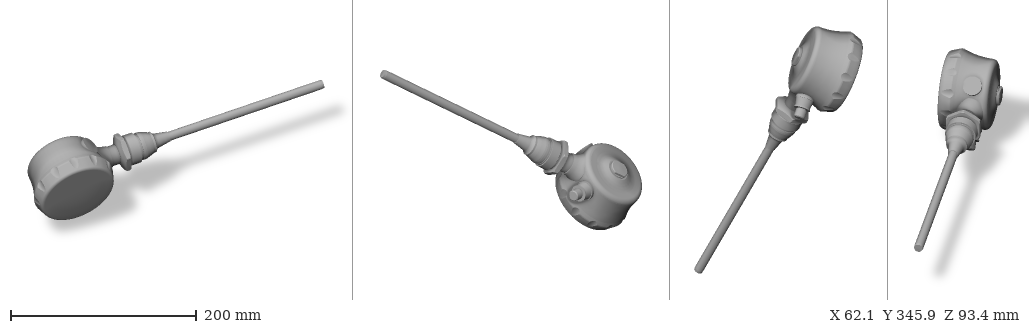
import cadquery as cq
import math


BACK_X = -19.5
BACK_EDGE_RADIUS = 5.5
HOUSING_BACK_R = 38.5
HOUSING_MID_X = 2.0
HOUSING_MID_R = 40.2
COVER_SEAM_X = 15.1
COVER_SEAM_R = 44.0
CREST_X = 20.2
CREST_R = 46.18
CREST_EDGE_RADIUS = 3.0
FRONT_X = 33.95
FRONT_R = 41.7
FRONT_EDGE_RADIUS = 3.2

SCALLOP_COUNT = 12
SCALLOP_R = 8.0
SCALLOP_START_X = 17.0
SCALLOP_START_R = 44.65
SCALLOP_END_X = 30.5
SCALLOP_END_R = 42.8

DOME_R = 25.7
DOME_MID_X = -20.6
DOME_MID_R = 19.0
DOME_TOP_X = -22.3
DOME_TOP_R = 15.7
PLUG_SEAT_X = -24.0
PLUG_SEAT_R = 12.4
PLUG_R = 10.5
HEAD_LENGTH = 62.05
PLUG_END_X = FRONT_X - HEAD_LENGTH
PLUG_CONE_HEIGHT = 0.7
PLUG_CHAMFER = 0.75
PLUG_FLAT_Z = 8.5
PLUG_FLAT_START_X = -25.0

SIDE_ANGLE = 45
SIDE_X = -2.0
BOSS_R = 10.4
BOSS_FACE = 41.6
SIDE_ROOT = 30.0

CONNECTOR_FLANGE_R = 9.0
CONNECTOR_FLANGE_START = 50.6
CONNECTOR_FLANGE_END = 52.2
CONNECTOR_WAIST_R = 8.0
CONNECTOR_ROOT_R = 9.75
CONNECTOR_GROOVE_R = 5.0
CONNECTOR_GROOVE_END = 53.5
CONNECTOR_TIP_R = 6.0
CONNECTOR_TIP_CHAMFER = 1.0
CONNECTOR_END = 62.45

NECK_END_Y = 50.0
NECK_END_R = 12.0
NECK_MID_Y = 43.0
NECK_MID_R = 13.5
NECK_ROOT_Y = 36.0
NECK_ROOT_R = 17.5

TUBE_R = 11.0
TUBE_END_Y = 59.6
HEX_CONE_START_R = 11.8
HEX_CONE_END_Y = 63.9
HEX_END_Y = 68.6
HEX_ACROSS_FLATS = 37.0
HEX_CORNER_R = 21.1
HEX_EDGE_CHAMFER = 0.9
COLLAR_WAIST_R = 14.5
COLLAR_WAIST_END_Y = 70.2
COLLAR_R = 16.8
COLLAR_START_Y = 71.6
COLLAR_END_Y = 82.0
SHOULDER_R = 15.2
GROOVE_START_Y = 83.4
GROOVE_END_Y = 85.4
GROOVE_DEPTH = 0.8
SHOULDER_END_Y = 87.7
SHOULDER_TAPER_END_Y = 89.7
SHOULDER_TAPER_R = 14.9
BULLET_CONE_Y = 95.0
BULLET_CONE_R = 13.2
BULLET_MID_Y = 97.4
BULLET_MID_R = 12.4
BULLET_END_Y = 99.3
RING_R = 11.5
RING_END_Y = 101.6
FLARE_MID_Y = 103.0
FLARE_MID_R = 9.5
FLARE_END_Y = 105.3
FLARE_END_R = 8.2
CONE_END_Y = 117.6
CONE_END_R = 6.0
SLEEVE_END_Y = 119.7
SLEEVE_R = 5.7
ROD_R = 5.0
TIP_Y = 300.2
TIP_LENGTH = 2.7
TIP_TAPER = 0.4


def head_profile():
    """Half outline of the housing with its cover, dome and end plug."""
    arc = BACK_EDGE_RADIUS * math.sin(math.radians(45))
    arc_x = BACK_X + BACK_EDGE_RADIUS
    arc_r = HOUSING_BACK_R - BACK_EDGE_RADIUS
    rim_x = PLUG_END_X + PLUG_CONE_HEIGHT
    return (
        cq.Workplane("XY")
        .moveTo(PLUG_END_X, 0)
        .lineTo(rim_x, PLUG_R - PLUG_CHAMFER)
        .lineTo(rim_x + PLUG_CHAMFER, PLUG_R)
        .lineTo(PLUG_SEAT_X, PLUG_R)
        .lineTo(PLUG_SEAT_X, PLUG_SEAT_R)
        .lineTo(DOME_TOP_X, DOME_TOP_R)
        .threePointArc((DOME_MID_X, DOME_MID_R), (BACK_X, DOME_R))
        .lineTo(BACK_X, arc_r)
        .threePointArc((arc_x - arc, arc_r + arc), (arc_x, HOUSING_BACK_R))
        .threePointArc((HOUSING_MID_X, HOUSING_MID_R), (COVER_SEAM_X, COVER_SEAM_R))
        .lineTo(CREST_X, CREST_R)
        .lineTo(FRONT_X, FRONT_R)
        .lineTo(FRONT_X, 0)
        .close()
    )


def circle_edge(x, radius):
    """Selector for the round edge of the head at a given X and radius."""
    margin = 0.1
    reach = radius + margin
    return cq.selectors.BoxSelector((x - margin, -reach, -reach), (x + margin, reach, reach), boundingbox=True)


def make_head():
    head = head_profile().revolve(360, (0, 0, 0), (1, 0, 0))
    head = head.edges(circle_edge(CREST_X, CREST_R)).fillet(CREST_EDGE_RADIUS)
    return head.edges(circle_edge(FRONT_X, FRONT_R)).fillet(FRONT_EDGE_RADIUS)


def cut_scallops(head):
    """Teardrop finger grips: cylinders tilted so that they sink towards the crest."""
    run = SCALLOP_END_X - SCALLOP_START_X
    drop = SCALLOP_END_R - SCALLOP_START_R
    length = math.hypot(run, drop)
    direction = cq.Vector(run / length, 0, drop / length)
    lift = cq.Vector(-direction.z, 0, direction.x) * SCALLOP_R
    start = cq.Vector(SCALLOP_START_X, 0, SCALLOP_START_R) + lift - direction * length
    cutter = cq.Solid.makeCylinder(SCALLOP_R, 3 * length, start, direction)
    for index in range(SCALLOP_COUNT):
        angle = index * 360 / SCALLOP_COUNT
        head = head.cut(cq.Workplane(cutter.rotate(cq.Vector(0, 0, 0), cq.Vector(1, 0, 0), angle)))
    return head


def cut_plug_flats(head):
    length = PLUG_FLAT_START_X - PLUG_END_X
    for side in (-1, 1):
        block = cq.Workplane("XY").box(length, 2 * PLUG_R, PLUG_R)
        block = block.translate((PLUG_END_X + length / 2, 0, side * (PLUG_FLAT_Z + PLUG_R / 2)))
        head = head.cut(block)
    return head


def side_axis(solid, upper):
    """Place a solid built along +Y so that it points obliquely up or down from the head axis."""
    angle = SIDE_ANGLE if upper else -SIDE_ANGLE
    return solid.rotate((0, 0, 0), (1, 0, 0), angle).translate((SIDE_X, 0, 0))


def make_boss():
    boss = cq.Workplane("XZ").circle(BOSS_R).extrude(-(BOSS_FACE - SIDE_ROOT))
    return boss.translate((0, SIDE_ROOT, 0))


def make_connector():
    profile = (
        cq.Workplane("XY")
        .moveTo(0, SIDE_ROOT)
        .lineTo(CONNECTOR_ROOT_R, SIDE_ROOT)
        .lineTo(CONNECTOR_ROOT_R, BOSS_FACE)
        .lineTo(CONNECTOR_WAIST_R, CONNECTOR_FLANGE_START)
        .lineTo(CONNECTOR_FLANGE_R, CONNECTOR_FLANGE_START)
        .lineTo(CONNECTOR_FLANGE_R, CONNECTOR_FLANGE_END)
        .lineTo(CONNECTOR_GROOVE_R, CONNECTOR_FLANGE_END)
        .lineTo(CONNECTOR_GROOVE_R, CONNECTOR_GROOVE_END)
        .lineTo(CONNECTOR_TIP_R, CONNECTOR_GROOVE_END)
        .lineTo(CONNECTOR_TIP_R, CONNECTOR_END - CONNECTOR_TIP_CHAMFER)
        .lineTo(CONNECTOR_TIP_R - CONNECTOR_TIP_CHAMFER, CONNECTOR_END)
        .lineTo(0, CONNECTOR_END)
        .close()
    )
    return profile.revolve(360, (0, 0, 0), (0, 1, 0))


def make_neck():
    profile = (
        cq.Workplane("XY")
        .lineTo(NECK_ROOT_R, 0)
        .lineTo(NECK_ROOT_R, NECK_ROOT_Y)
        .threePointArc((NECK_MID_R, NECK_MID_Y), (NECK_END_R, NECK_END_Y))
        .lineTo(0, NECK_END_Y)
        .close()
    )
    return profile.revolve(360, (0, 0, 0), (0, 1, 0))


def make_housing():
    housing = cut_plug_flats(cut_scallops(make_head()))
    housing = housing.union(make_neck())
    for upper in (True, False):
        housing = housing.union(side_axis(make_boss(), upper))
    return housing.union(side_axis(make_connector(), False))


def make_probe_shaft():
    """All turned parts of the probe, from the neck to the tip of the rod."""
    profile = (
        cq.Workplane("XY")
        .moveTo(0, NECK_END_Y)
        .lineTo(TUBE_R, NECK_END_Y)
        .lineTo(TUBE_R, HEX_END_Y)
        .lineTo(COLLAR_WAIST_R, HEX_END_Y)
        .lineTo(COLLAR_WAIST_R, COLLAR_WAIST_END_Y)
        .lineTo(COLLAR_R, COLLAR_START_Y)
        .lineTo(COLLAR_R, COLLAR_END_Y)
        .lineTo(SHOULDER_R, COLLAR_END_Y)
        .lineTo(SHOULDER_R, GROOVE_START_Y)
        .lineTo(SHOULDER_R - GROOVE_DEPTH, GROOVE_START_Y)
        .lineTo(SHOULDER_R - GROOVE_DEPTH, GROOVE_END_Y)
        .lineTo(SHOULDER_R, GROOVE_END_Y)
        .lineTo(SHOULDER_R, SHOULDER_END_Y)
        .lineTo(SHOULDER_TAPER_R, SHOULDER_TAPER_END_Y)
        .lineTo(BULLET_CONE_R, BULLET_CONE_Y)
        .threePointArc((BULLET_MID_R, BULLET_MID_Y), (RING_R, BULLET_END_Y))
        .lineTo(RING_R, RING_END_Y)
        .threePointArc((FLARE_MID_R, FLARE_MID_Y), (FLARE_END_R, FLARE_END_Y))
        .lineTo(CONE_END_R, CONE_END_Y)
        .lineTo(SLEEVE_R, SLEEVE_END_Y)
        .lineTo(ROD_R, SLEEVE_END_Y)
        .lineTo(ROD_R, TIP_Y - TIP_LENGTH)
        .lineTo(ROD_R - TIP_TAPER, TIP_Y)
        .lineTo(0, TIP_Y)
        .close()
    )
    return profile.revolve(360, (0, 0, 0), (0, 1, 0))


def make_hexagon():
    """Spanner hexagon with one corner up, coned towards the neck and chamfered towards the collar."""
    corner_diameter = HEX_ACROSS_FLATS / math.cos(math.radians(30))
    hexagon = (
        cq.Workplane("XZ")
        .transformed(rotate=(0, 0, 90))
        .polygon(6, corner_diameter)
        .extrude(-(HEX_END_Y - TUBE_END_Y))
        .translate((0, TUBE_END_Y, 0))
    )
    turned_profile = (
        cq.Workplane("XY")
        .moveTo(0, TUBE_END_Y)
        .lineTo(HEX_CONE_START_R, TUBE_END_Y)
        .lineTo(HEX_CORNER_R, HEX_CONE_END_Y)
        .lineTo(HEX_CORNER_R, HEX_END_Y - HEX_EDGE_CHAMFER)
        .lineTo(HEX_CORNER_R - HEX_EDGE_CHAMFER, HEX_END_Y)
        .lineTo(0, HEX_END_Y)
        .close()
    )
    turned = turned_profile.revolve(360, (0, 0, 0), (0, 1, 0))
    return hexagon.intersect(turned)


def make_probe():
    return make_probe_shaft().union(make_hexagon())


housing = make_housing().solids()
probe = make_probe().solids()
result = cq.Compound.makeCompound([housing.val(), probe.val()])